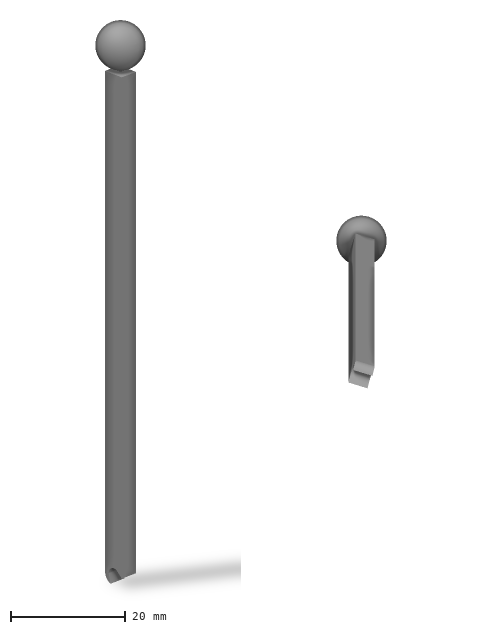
import cadquery as cq
import math

total_height = 106.3
ball_diameter = 8.8
bar_width = 4.1
bar_depth = 3.5
bar_top = 96.9
pin_diameter = 0.5

tip_x = -0.7
shoulder_z = 1.9
back_bulge = 0.3
notch_radius = 1.3
notch_x = 0.1
notch_z = 1.9
ramp_angle = math.radians(45)
short_side_z = 1.8

ball_radius = ball_diameter / 2
ball_center_z = total_height - ball_radius
half_width = bar_width / 2


def notch_point(angle):
    """Point on the notch circle, with the angle measured from +X."""
    return notch_x + notch_radius * math.cos(angle), notch_z + notch_radius * math.sin(angle)


def make_bar():
    """Rectangular bar whose lower end is a pointed hook beside a round notch."""
    chord_x = tip_x + half_width
    chord_length = math.hypot(chord_x, shoulder_z)
    back_middle = (
        (tip_x - half_width) / 2 - back_bulge * shoulder_z / chord_length,
        shoulder_z / 2 - back_bulge * chord_x / chord_length,
    )
    ramp_start = notch_point(math.pi / 2 - ramp_angle)
    return (
        cq.Workplane("XZ")
        .moveTo(-half_width, bar_top)
        .lineTo(-half_width, shoulder_z)
        .threePointArc(back_middle, (tip_x, 0))
        .lineTo(*notch_point(math.pi))
        .threePointArc(notch_point(math.pi * 3 / 4), ramp_start)
        .lineTo(half_width, short_side_z)
        .lineTo(half_width, bar_top)
        .close()
        .extrude(bar_depth / 2, both=True)
    )


def make_pin():
    """Thin pin joining the bar to the center of the ball."""
    pin_length = ball_center_z - bar_top
    return cq.Workplane("XY", origin=(0, 0, bar_top)).circle(pin_diameter / 2).extrude(pin_length)


def make_ball():
    return cq.Workplane("XY").sphere(ball_radius).translate((0, 0, ball_center_z))


result = make_bar().union(make_pin()).union(make_ball())